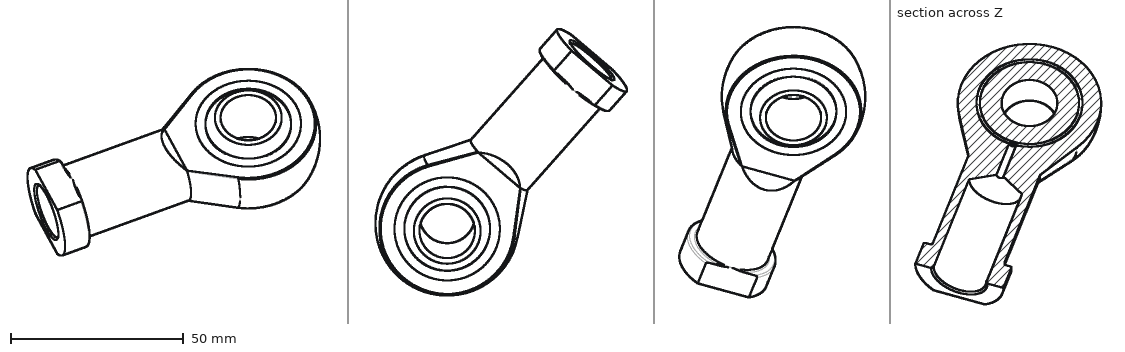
import cadquery as cq
import math

head_thickness = 15.0
head_diameter = 41.7
head_face_radius = 19.7
edge_chamfer_width = 0.4
edge_chamfer_depth = 0.25
ring_diameter = 30.55

shank_diameter = 22.0
overall_length = 84.9
neck_start_y = -10.5
neck_end_y = -23.0
flange_diameter = 27.0
flange_length = 8.0
blend_radius = 0.5

bore_diameter = 16.0
bore_mouth_diameter = 17.2
bore_depth = 33.0
bore_tip_half_angle = 60.0
oil_hole_diameter = 2.0

ball_diameter = 28.6
ball_height = 21.05
ball_bore_diameter = 16.0
ring_mouth_diameter = 24.9

head_radius = head_diameter / 2
ball_radius = ball_diameter / 2
half_thickness = head_thickness / 2
flat_face_radius = head_face_radius - edge_chamfer_width
rim_height = half_thickness - edge_chamfer_depth
shank_radius = shank_diameter / 2
flange_radius = flange_diameter / 2
shank_end_y = head_radius - overall_length
flange_top_y = shank_end_y + flange_length


def make_eye():
    """Bulged disc, kept only on the +Y side of the neck start."""
    disc = (
        cq.Workplane("XZ")
        .moveTo(0, -half_thickness)
        .lineTo(flat_face_radius, -half_thickness)
        .lineTo(head_face_radius, -rim_height)
        .threePointArc((head_radius, 0), (head_face_radius, rim_height))
        .lineTo(flat_face_radius, half_thickness)
        .lineTo(0, half_thickness)
        .close()
        .revolve(360, (0, 0, 0), (0, 1, 0))
    )
    size = 2 * head_radius
    keep = (
        cq.Workplane("XY")
        .box(size, size, size, centered=(True, False, True))
        .translate((0, neck_start_y, 0))
    )
    return disc.intersect(keep)


def neck_section(y, crest_x, rim_x, face_x):
    """Closed wire across the neck with bulged sides and chamfered edges."""
    return (
        cq.Workplane("XZ", origin=(0, y, 0))
        .moveTo(-face_x, -half_thickness)
        .lineTo(face_x, -half_thickness)
        .lineTo(rim_x, -rim_height)
        .threePointArc((crest_x, 0), (rim_x, rim_height))
        .lineTo(face_x, half_thickness)
        .lineTo(-face_x, half_thickness)
        .lineTo(-rim_x, rim_height)
        .threePointArc((-crest_x, 0), (-rim_x, -rim_height))
        .close()
        .val()
    )


def make_neck():
    """Ruled transition from the eye to the round section of the shank."""
    eye_crest, eye_rim, eye_face = [
        math.sqrt(radius**2 - neck_start_y**2)
        for radius in (head_radius, head_face_radius, flat_face_radius)
    ]
    shank_rim = math.sqrt(shank_radius**2 - rim_height**2)
    shank_face = math.sqrt(shank_radius**2 - half_thickness**2)
    start = neck_section(neck_start_y, eye_crest, eye_rim, eye_face)
    end = neck_section(neck_end_y, shank_radius, shank_rim, shank_face)
    return cq.Workplane(cq.Solid.makeLoft([start, end], True))


def make_shank():
    """Round shank and flange, flattened top and bottom and bevelled at the neck."""
    diagonal = blend_radius * math.sqrt(0.5)
    fillet_center = (shank_radius + blend_radius, flange_top_y + blend_radius)
    rim_center = (flange_radius - blend_radius, flange_top_y - blend_radius)
    turned = (
        cq.Workplane("XY")
        .moveTo(0, neck_end_y)
        .lineTo(shank_radius, neck_end_y)
        .lineTo(shank_radius, fillet_center[1])
        .threePointArc(
            (fillet_center[0] - diagonal, fillet_center[1] - diagonal),
            (fillet_center[0], flange_top_y),
        )
        .lineTo(rim_center[0], flange_top_y)
        .threePointArc(
            (rim_center[0] + diagonal, rim_center[1] + diagonal),
            (flange_radius, rim_center[1]),
        )
        .lineTo(flange_radius, shank_end_y)
        .lineTo(0, shank_end_y)
        .close()
        .revolve(360, (0, 0, 0), (0, 1, 0))
    )
    bevel_end_y = neck_end_y - (shank_radius - half_thickness)
    side_outline = (
        cq.Workplane("YZ")
        .moveTo(shank_end_y, -shank_radius)
        .lineTo(bevel_end_y, -shank_radius)
        .lineTo(neck_end_y, -half_thickness)
        .lineTo(neck_end_y, half_thickness)
        .lineTo(bevel_end_y, shank_radius)
        .lineTo(shank_end_y, shank_radius)
        .close()
        .extrude(flange_radius, both=True)
    )
    return turned.intersect(side_outline)


def make_shank_bore():
    """Drilled bore with a countersunk mouth and an oil hole up to the ring seat."""
    bore_radius = bore_diameter / 2
    mouth_radius = bore_mouth_diameter / 2
    oil_radius = oil_hole_diameter / 2
    bore_end_y = shank_end_y + bore_depth
    tip_length = (bore_radius - oil_radius) / math.tan(math.radians(bore_tip_half_angle))
    return (
        cq.Workplane("XY")
        .moveTo(0, shank_end_y)
        .lineTo(mouth_radius, shank_end_y)
        .lineTo(bore_radius, shank_end_y + mouth_radius - bore_radius)
        .lineTo(bore_radius, bore_end_y)
        .lineTo(oil_radius, bore_end_y + tip_length)
        .lineTo(oil_radius, 0)
        .lineTo(0, 0)
        .close()
        .revolve(360, (0, 0, 0), (0, 1, 0))
    )


def centered_disc(radius, height):
    """Cylinder along Z, centred on the origin."""
    return cq.Workplane("XY", origin=(0, 0, -height / 2)).circle(radius).extrude(height)


def make_ring_blank():
    """Solid disc that fills the ring seat through the head."""
    return centered_disc(ring_diameter / 2, head_thickness)


def make_housing():
    body = make_eye().union(make_neck()).union(make_shank())
    return body.cut(make_ring_blank()).cut(make_shank_bore())


def make_outer_ring():
    """Flush ring with a spherical inner race and short straight mouths."""
    race = cq.Workplane("XY").sphere(ball_radius)
    mouth = centered_disc(ring_mouth_diameter / 2, head_thickness)
    return make_ring_blank().cut(race).cut(mouth)


def make_ball():
    """Truncated sphere with a through bore along Z."""
    slab = centered_disc(ball_radius, ball_height)
    bore = centered_disc(ball_bore_diameter / 2, ball_height)
    return cq.Workplane("XY").sphere(ball_radius).intersect(slab).cut(bore)


housing = make_housing()
outer_ring = make_outer_ring()
ball = make_ball()

result = cq.Compound.makeCompound([housing.val(), outer_ring.val(), ball.val()])